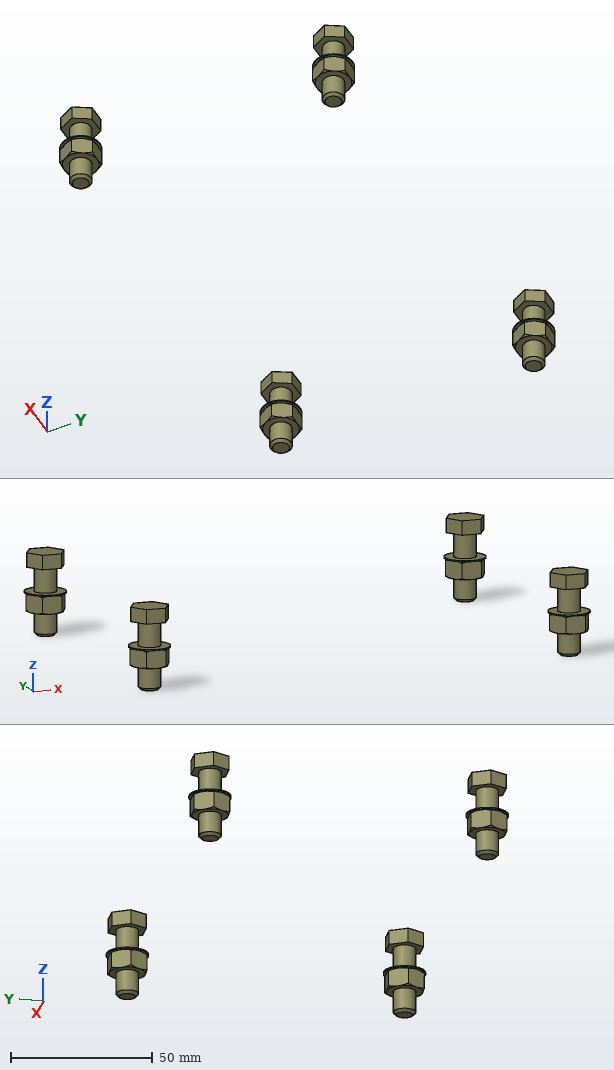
import cadquery as cq
import math

length_x = 175.0
width_y = 115.0

total_height = 30.3
head_height = 5.3
head_across_flats = 12.5
shank_diameter = 8.0
tip_chamfer = 1.0

flange_diameter = 15.0
flange_thickness = 0.44
nut_across_flats = 13.0
nut_bottom_z = 8.8
flange_top_z = 16.0
nut_chamfer_angle = 30.0

head_bottom_z = total_height - head_height
nut_top_z = flange_top_z - flange_thickness
spacing_x = length_x - flange_diameter
spacing_y = width_y - flange_diameter


def across_corners(across_flats):
    return across_flats / math.cos(math.pi / 6)


def hex_prism(across_flats, bottom_z, top_z):
    """Hexagonal prism with two corners on the X axis."""
    base = cq.Workplane("XY").workplane(offset=bottom_z)
    return base.polygon(6, across_corners(across_flats)).extrude(top_z - bottom_z)


def cylinder(diameter, bottom_z, top_z):
    base = cq.Workplane("XY").workplane(offset=bottom_z)
    return base.circle(diameter / 2).extrude(top_z - bottom_z)


def corner_trimmer():
    """Round body with conical ends that trims the nut's corners down to its flats at both ends."""
    end_radius = nut_across_flats / 2
    corner_radius = across_corners(nut_across_flats) / 2
    chamfer_height = (corner_radius - end_radius) * math.tan(math.radians(nut_chamfer_angle))
    profile = (
        cq.Workplane("XZ")
        .moveTo(0, nut_bottom_z)
        .lineTo(end_radius, nut_bottom_z)
        .lineTo(corner_radius, nut_bottom_z + chamfer_height)
        .lineTo(corner_radius, nut_top_z - chamfer_height)
        .lineTo(end_radius, nut_top_z)
        .lineTo(0, nut_top_z)
        .close()
    )
    return profile.revolve(360, (0, 0, 0), (0, 1, 0))


def flanged_nut():
    """Hexagon nut with chamfered corners and a thin round flange on top."""
    hexagon = hex_prism(nut_across_flats, nut_bottom_z, nut_top_z).intersect(corner_trimmer())
    flange = cylinder(flange_diameter, nut_top_z, flange_top_z)
    return hexagon.union(flange)


def bolt_with_nut():
    """One solid: hexagon head, shank with a chamfered tip, and the flanged nut on the shank."""
    head = hex_prism(head_across_flats, head_bottom_z, total_height)
    shank = cylinder(shank_diameter, 0, head_bottom_z).faces("<Z").chamfer(tip_chamfer)
    return shank.union(head).union(flanged_nut())


bolts = []
for side_x in (-1, 1):
    for side_y in (-1, 1):
        bolt_centre = (side_x * spacing_x / 2, side_y * spacing_y / 2, 0)
        bolts.append(bolt_with_nut().translate(bolt_centre).solids().val())

result = cq.Compound.makeCompound(bolts)